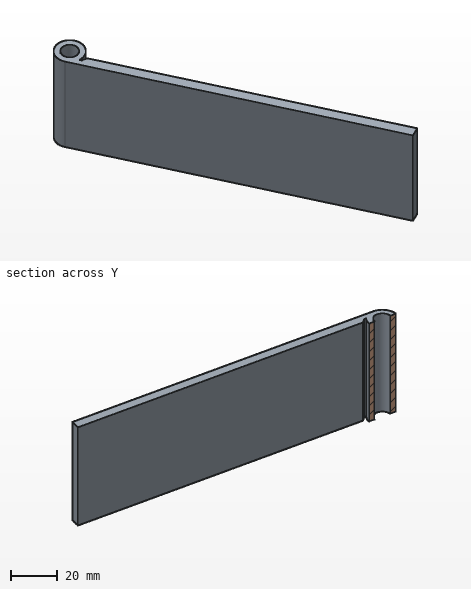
import cadquery as cq

total_length = 164.0
height = 50.0
barrel_diameter = 14.0
pin_diameter = 8.0
leaf_thickness = 5.0
notch_end = 8.7
end_slant = 0.5

barrel_radius = barrel_diameter / 2
wall = (barrel_diameter - pin_diameter) / 2
leaf_outer_y = -barrel_radius
leaf_inner_y = leaf_outer_y + leaf_thickness
notch_floor_y = leaf_outer_y + wall
notch_slope_start = notch_end - (leaf_thickness - wall)
leaf_end = total_length - barrel_radius


def make_barrel():
    return cq.Workplane("XY").circle(barrel_radius).extrude(height)


def make_leaf():
    """Flat leaf tangent to the barrel, thinned to the wall by a sloped notch beside it."""
    return (
        cq.Workplane("XY")
        .moveTo(0, leaf_outer_y)
        .lineTo(leaf_end - end_slant, leaf_outer_y)
        .lineTo(leaf_end, leaf_inner_y)
        .lineTo(notch_end, leaf_inner_y)
        .lineTo(notch_slope_start, notch_floor_y)
        .lineTo(0, notch_floor_y)
        .close()
        .extrude(height)
    )


def make_pin_hole():
    return cq.Workplane("XY").circle(pin_diameter / 2).extrude(height)


result = make_barrel().union(make_leaf()).cut(make_pin_hole())